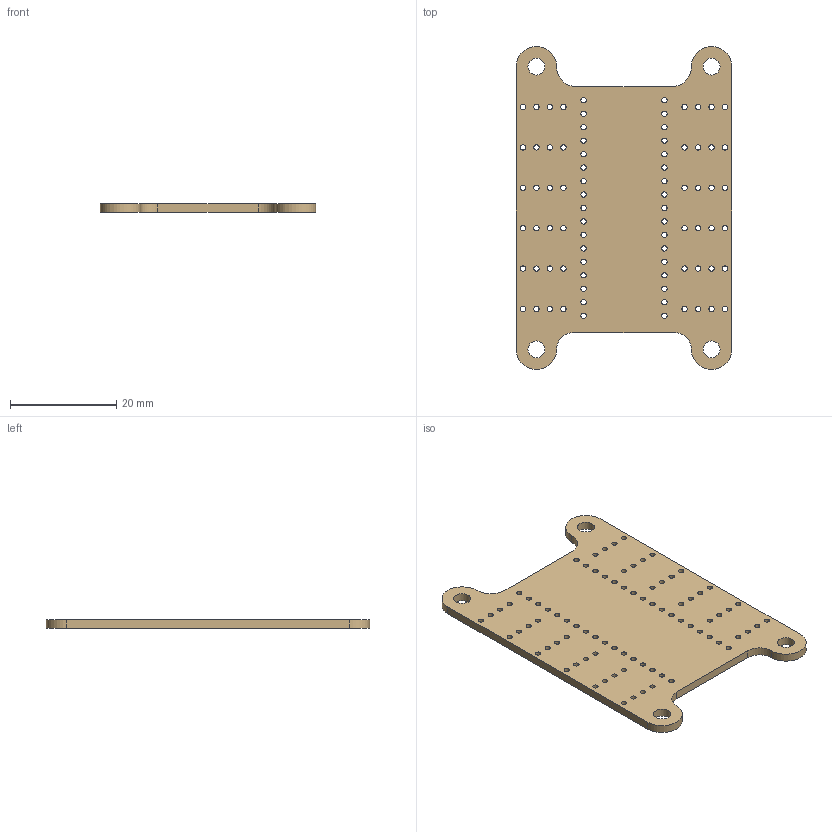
import cadquery as cq

pitch = 2.54
board_width = 16 * pitch
board_length = 24 * pitch
thickness = 1.6

ear_radius = 1.5 * pitch
ear_x = board_width / 2 - ear_radius
ear_y = board_length / 2 - ear_radius
mount_diameter = 3.2

recess_half_width = ear_x - ear_radius
back_recess_radius = 1.5 * pitch
front_recess_radius = 1.25 * pitch

pin_diameter = 1.0
header_x = 3 * pitch
header_count = 17
grid_x = 6 * pitch
grid_columns = 4
grid_rows = 6
grid_row_spacing = 3 * pitch


def draw_end(outline, end, recess_radius):
    """Continue the outline counter-clockwise across the +Y (end = 1) or -Y (end = -1) edge."""
    arc_base = end * ear_y
    ear_tip = end * (ear_y + ear_radius)
    recess_floor = end * (ear_y - recess_radius)
    floor_half_width = recess_half_width - recess_radius
    return (
        outline.threePointArc((end * ear_x, ear_tip), (end * recess_half_width, arc_base))
        .radiusArc((end * floor_half_width, recess_floor), recess_radius)
        .lineTo(-end * floor_half_width, recess_floor)
        .radiusArc((-end * recess_half_width, arc_base), recess_radius)
        .threePointArc((-end * ear_x, ear_tip), (-end * board_width / 2, arc_base))
    )


def make_board():
    """Flat plate with four rounded ears and a recess at each end."""
    outline = cq.Workplane("XY").moveTo(board_width / 2, ear_y)
    outline = draw_end(outline, 1, back_recess_radius)
    outline = outline.lineTo(-board_width / 2, -ear_y)
    outline = draw_end(outline, -1, front_recess_radius)
    return outline.close().extrude(thickness)


def centred_steps(count, spacing):
    """Evenly spaced positions that are symmetric about zero."""
    return [(index - (count - 1) / 2) * spacing for index in range(count)]


def pin_points():
    """Centres of all pin holes, mirrored about the YZ plane."""
    points = []
    for side in (1, -1):
        for y in centred_steps(header_count, pitch):
            points.append((side * header_x, y))
        for y in centred_steps(grid_rows, grid_row_spacing):
            for offset in centred_steps(grid_columns, pitch):
                points.append((side * grid_x + offset, y))
    return points


def drill(body, points, diameter):
    """Cut round through holes at the given points."""
    drills = cq.Workplane("XY").pushPoints(points).circle(diameter / 2).extrude(thickness)
    return body.cut(drills)


mount_points = [(side * ear_x, end * ear_y) for side in (1, -1) for end in (1, -1)]

result = make_board()
result = drill(result, mount_points, mount_diameter)
result = drill(result, pin_points(), pin_diameter)